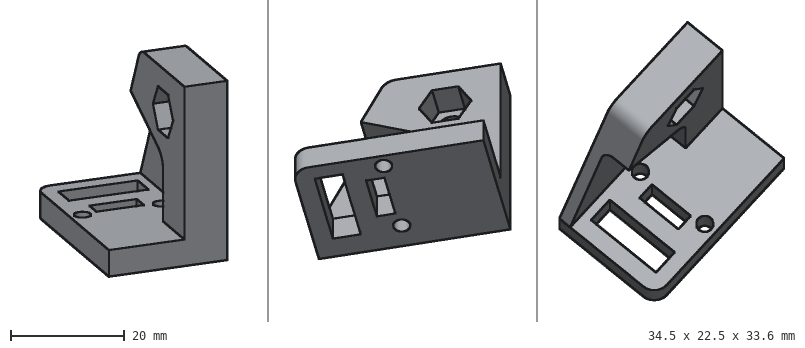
import cadquery as cq
import math

length = 34.5
depth = 22.5
height = 33.65

base_thickness = 5.0
corner_radius = 3.0
wall_thickness = 8.15
wall_front = depth - wall_thickness
top_corner_x = 13.8

web_thickness = 2.52
recess_right = 24.55
recess_corner_z = 16.97
recess_corner_radius = 4.0
recess_floor_fillet = 2.0

bolt_x = 24.5
bolt_z = 25.45
bolt_diameter = 5.2
nut_across_flats = 8.15
nut_depth = wall_thickness - web_thickness

large_slot_x = 3.5
large_slot_y = 3.0
large_slot_width = 5.0
large_slot_length = 15.08
small_slot_x = 12.2
small_slot_y = 5.35
small_slot_width = 3.3
small_slot_length = 9.0
screw_diameter = 3.0
screw_x = 16.0
screw_y = 2.5
screw_spacing = 15.0


def extrude_back(sketch, front_y, distance):
    """Extrude an XZ sketch toward +Y, starting at front_y."""
    return sketch.extrude(-distance).translate((0, front_y, 0))


def make_base():
    plate = cq.Workplane("XY").box(length, depth, base_thickness, centered=False)
    return plate.edges("|Z and <X and <Y").fillet(corner_radius)


def make_wall():
    outline = (
        cq.Workplane("XZ")
        .moveTo(0, 0)
        .lineTo(length, 0)
        .lineTo(length, height)
        .lineTo(top_corner_x, height)
        .lineTo(0, base_thickness)
        .close()
    )
    wall = extrude_back(outline, wall_front, wall_thickness)
    top_corner = (top_corner_x, wall_front + wall_thickness / 2, height)
    return wall.edges(cq.selectors.NearestToPointSelector(top_corner)).fillet(corner_radius)


def make_recess():
    """Cutter with a rounded corner and a filleted floor, running out past the left side."""
    fall = top_corner_x / (height - base_thickness)
    left = -length
    left_z = recess_corner_z + fall * (recess_right - left)
    outline = (
        cq.Workplane("XZ")
        .moveTo(left, base_thickness)
        .lineTo(recess_right, base_thickness)
        .lineTo(recess_right, recess_corner_z)
        .lineTo(left, left_z)
        .close()
    )
    recess_depth = wall_thickness - web_thickness
    cutter = extrude_back(outline, wall_front, recess_depth)
    corner = (recess_right, wall_front + recess_depth / 2, recess_corner_z)
    cutter = cutter.edges(cq.selectors.NearestToPointSelector(corner)).fillet(recess_corner_radius)
    right_floor_edge = (recess_right, wall_front + recess_depth, (base_thickness + recess_corner_z) / 2)
    upper_floor_edge = ((left + recess_right) / 2, wall_front + recess_depth, (left_z + recess_corner_z) / 2)
    floor_edges = cq.selectors.SumSelector(
        cq.selectors.NearestToPointSelector(right_floor_edge),
        cq.selectors.NearestToPointSelector(upper_floor_edge),
    )
    return cutter.edges(floor_edges).fillet(recess_floor_fillet)


def make_bolt_cutter():
    across_corners = nut_across_flats / math.cos(math.pi / 6)
    center = cq.Workplane("XZ").center(bolt_x, bolt_z)
    nut = extrude_back(center.polygon(6, across_corners), wall_front, nut_depth)
    hole = extrude_back(center.circle(bolt_diameter / 2), wall_front, wall_thickness)
    return nut.union(hole)


def make_slot(x, y, width, slot_length):
    return cq.Workplane("XY").box(width, slot_length, base_thickness, centered=False).translate((x, y, 0))


def make_screw_holes():
    centers = [(screw_x, screw_y), (screw_x, screw_y + screw_spacing)]
    return cq.Workplane("XY").pushPoints(centers).circle(screw_diameter / 2).extrude(base_thickness)


wall = make_wall().cut(make_recess()).cut(make_bolt_cutter())
base = make_base()
result = (
    base.union(wall)
    .cut(make_slot(large_slot_x, large_slot_y, large_slot_width, large_slot_length))
    .cut(make_slot(small_slot_x, small_slot_y, small_slot_width, small_slot_length))
    .cut(make_screw_holes())
)